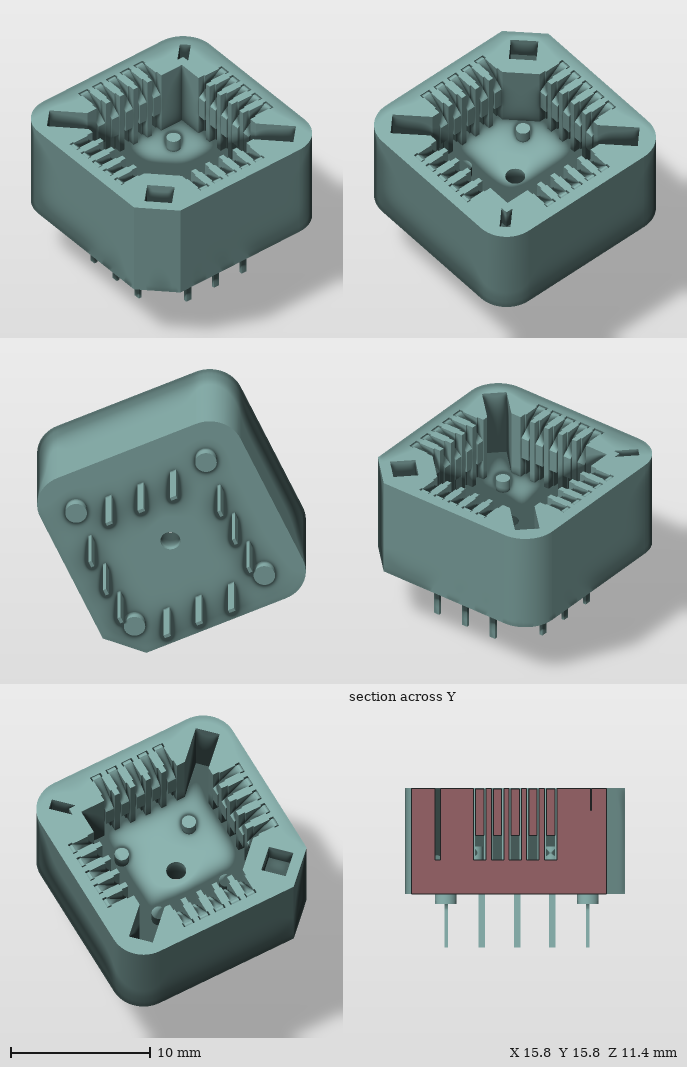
import cadquery as cq

body_side = 15.75
body_height = 7.6
corner_radius = 2.43
corner_chamfer = 2.36

cavity_half = 4.87
cavity_chamfer = 1.87
cavity_floor = 2.47
cavity_depth = body_height - cavity_floor

diagonal_px_py = 45
diagonal_nx_py = 135
diagonal_nx_ny = 225
side_angles = (0, 90, 180, 270)

extraction_width = 1.78
extraction_reach = 8.88
extraction_side_shift = 0.14

contact_span = 5.07
contacts_per_side = 5
contact_pitch = contact_span / (contacts_per_side - 1)
slot_wide = 0.87
slot_neck = 0.66
slot_outer_end = 7.01
slot_head_inner = 6.66
slot_mouth = 5.39

contact_width = 0.63
contact_tip = 4.82
tip_rounding = 0.08
contact_bottom = 4.17
contact_knee = 5.87
contact_top = 7.56
crown_outer = 6.88
crown_inner = 6.74
crown_drop = 0.06
slope_start = 6.63
slope_start_drop = 0.1

pocket_centre = (5.48, -5.5)
pocket_across = 1.83
pocket_along = 1.98
recess_depth = 1.58
mark_outer_end = 9.18
mark_tips = 7.4
mark_notch = 7.78
mark_width = 0.79

pin_origin = (0.15, -0.15)
pin_pitch = 2 * contact_pitch
pin_row_offset = 2 * pin_pitch
pins_per_row = 3
pin_width = 0.47
pin_thickness = 0.25
pin_length = 3.83
hole_diameter = 1.43

standoff_centre = (0.13, -0.06)
standoff_diameter = 1.55
standoff_spacing = 10.2
standoff_height = 0.71

post_centre = (-0.11, -0.27)
post_spacing = 5.5
post_diameter = 1.02
post_height = 0.93


def make_body():
    block = cq.Workplane("XY").box(body_side, body_side, body_height, centered=(True, True, False))
    block = block.edges("|Z and (<X or >Y)").fillet(corner_radius)
    return block.edges("|Z and >X and <Y").chamfer(corner_chamfer)


def make_cavity():
    side = 2 * cavity_half
    pocket = cq.Workplane("XY").workplane(offset=cavity_floor).rect(side, side).extrude(cavity_depth)
    return pocket.edges("|Z and >X and <Y").chamfer(cavity_chamfer)


def make_extraction_slot(angle, side_shift):
    """Slot from the centre toward a corner, at the given angle in degrees; side_shift moves it sideways."""
    slot = cq.Workplane("XY").box(extraction_reach, extraction_width, cavity_depth, centered=(False, True, False))
    return slot.translate((0, side_shift, cavity_floor)).rotate((0, 0, 0), (0, 0, 1), angle)


def make_contact_slot():
    """Slot with a wide head, a narrow neck and a wide mouth, running along +X."""

    def stretch(start, end, width):
        bar = cq.Workplane("XY").box(end - start, width, cavity_depth, centered=(False, True, False))
        return bar.translate((start, 0, cavity_floor))

    slot = stretch(contact_tip, slot_outer_end, slot_neck)
    slot = slot.union(stretch(slot_head_inner, slot_outer_end, slot_wide))
    return slot.union(stretch(contact_tip, slot_mouth, slot_wide))


def make_contact():
    """Spring contact: a crown against the slot's outer wall, then a slope down to the knee."""
    outline = [
        (slot_outer_end, contact_bottom),
        (slot_outer_end, contact_top - crown_drop),
        (crown_outer, contact_top),
        (crown_inner, contact_top),
        (slope_start, contact_top - slope_start_drop),
        (contact_tip + tip_rounding, contact_knee + tip_rounding),
        (contact_tip, contact_knee),
        (contact_tip, contact_bottom),
    ]
    profile = cq.Workplane("XZ").polyline(outline).close()
    return profile.extrude(contact_width / 2, both=True)


def around_sides(feature):
    """The feature, drawn for the +X side, repeated along each of the four sides."""
    first = -contact_span / 2
    for side_angle in side_angles:
        for index in range(contacts_per_side):
            shifted = feature.translate((0, first + index * contact_pitch, 0))
            yield shifted.rotate((0, 0, 0), (0, 0, 1), side_angle)


def make_pocket():
    pocket = cq.Workplane("XY").box(pocket_across, pocket_along, recess_depth, centered=(True, True, False))
    pocket = pocket.rotate((0, 0, 0), (0, 0, 1), diagonal_nx_py)
    return pocket.translate((*pocket_centre, body_height - recess_depth))


def make_arrow_mark():
    """Bar with a notched end, lying on the diagonal toward the (-X, +Y) corner."""
    outline = [
        (mark_outer_end, -mark_width / 2),
        (mark_outer_end, mark_width / 2),
        (mark_tips, mark_width / 2),
        (mark_notch, 0),
        (mark_tips, -mark_width / 2),
    ]
    mark = cq.Workplane("XY").polyline(outline).close().extrude(recess_depth)
    return mark.rotate((0, 0, 0), (0, 0, 1), diagonal_nx_py).translate((0, 0, body_height - recess_depth))


def make_posts():
    plane = cq.Workplane("XY").workplane(offset=cavity_floor).center(*post_centre)
    return plane.rarray(post_spacing, post_spacing, 2, 2).circle(post_diameter / 2).extrude(post_height)


def make_standoffs():
    plane = cq.Workplane("XY").center(*standoff_centre)
    spots = plane.rarray(standoff_spacing, standoff_spacing, 2, 2)
    return spots.circle(standoff_diameter / 2).extrude(-standoff_height)


def make_pin_rows():
    """One row of pins along each side, the wide face of every pin facing outward."""
    row = cq.Workplane("XY").center(pin_row_offset, 0).rarray(pin_pitch, pin_pitch, 1, pins_per_row)
    row = row.rect(pin_thickness, pin_width).extrude(-pin_length)
    for side_angle in side_angles:
        yield row.rotate((0, 0, 0), (0, 0, 1), side_angle).translate((*pin_origin, 0))


result = make_body().cut(make_cavity())
result = result.cut(make_extraction_slot(diagonal_px_py, 0))
result = result.cut(make_extraction_slot(diagonal_nx_ny, extraction_side_shift))
for contact_slot in around_sides(make_contact_slot()):
    result = result.cut(contact_slot)
for contact in around_sides(make_contact()):
    result = result.union(contact)
result = result.cut(make_pocket()).cut(make_arrow_mark())

hole = cq.Workplane("XY").center(*pin_origin).circle(hole_diameter / 2).extrude(body_height)
result = result.cut(hole).union(make_posts()).union(make_standoffs())
for pin_row in make_pin_rows():
    result = result.union(pin_row)